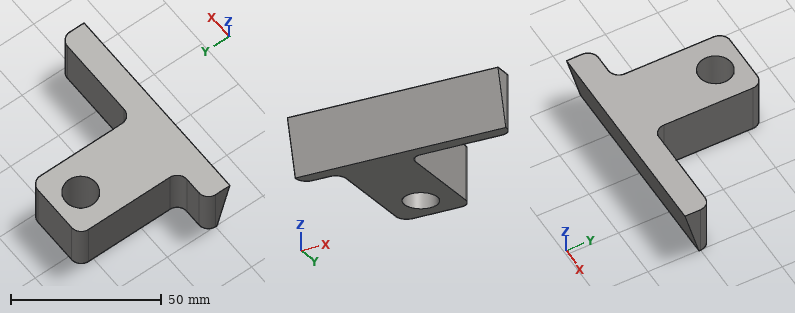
import cadquery as cq
import math

length = 80.35
depth = 52.0
height = 20.0

bar_depth = 10.0
stem_left = 14.6
stem_width = 26.5
corner_radius = 4.0

hole_diameter = 12.5
hole_from_end = 10.85

front_angle = 15.0

stem_right = stem_left + stem_width


def t_body():
    outline = [
        (0, 0),
        (length, 0),
        (length, bar_depth),
        (stem_right, bar_depth),
        (stem_right, depth),
        (stem_left, depth),
        (stem_left, bar_depth),
        (0, bar_depth),
    ]
    body = cq.Workplane("XY").polyline(outline).close().extrude(height)
    behind_front = cq.selectors.BoxSelector(
        (-corner_radius, bar_depth / 2, 0),
        (length + corner_radius, depth + corner_radius, height),
    )
    return body.edges("|Z").edges(behind_front).fillet(corner_radius)


def front_wedge():
    setback = height * math.tan(math.radians(front_angle))
    return (
        cq.Workplane("YZ")
        .polyline([(0, 0), (setback, 0), (0, height)])
        .close()
        .extrude(length)
    )


def stem_hole():
    return (
        cq.Workplane("XY")
        .center(stem_left + stem_width / 2, depth - hole_from_end)
        .circle(hole_diameter / 2)
        .extrude(height)
    )


result = t_body().cut(front_wedge()).cut(stem_hole())